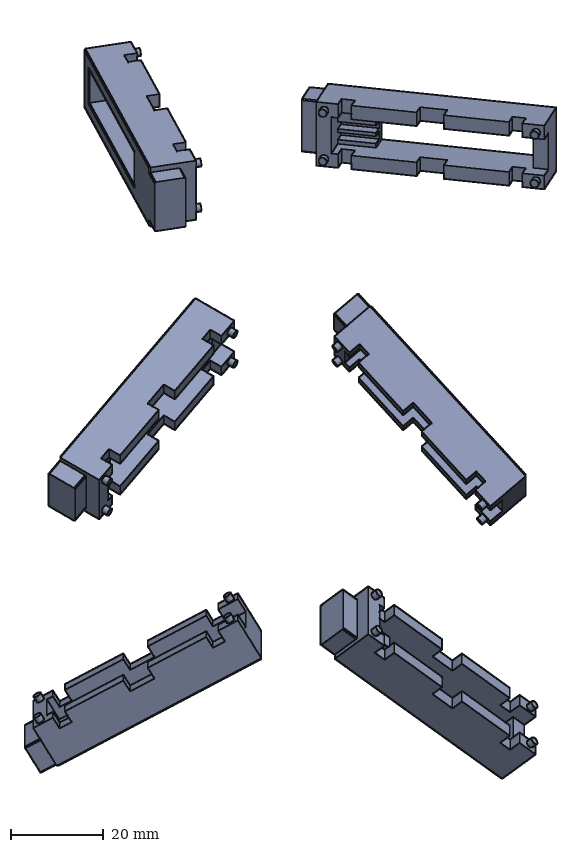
import cadquery as cq

length = 55.0
depth = 12.0
height = 15.0
body_length = 50.9
body_depth = 10.5
side_wall = 3.25
edge_chamfer = 0.3

tab_margin = 1.25
tab_depth = 7.05
end_wall = 3.4

window_start = end_wall
window_end = 38.95

block_depth = 5.1
groove_floor = 2.55
groove_width = 1.7
groove_pitch = 2.55
first_groove_offset = 1.0
groove_count = 2

notch_bottom = 7.6
edge_notch_offset = 4.9
edge_notch_width = 2.95
middle_notch_width = 6.05

pin_diameter = 1.8
pin_inset = 1.8

cavity_height = height - 2 * side_wall
cavity_end = body_length - end_wall


def box(x_start, x_end, y_start, y_end, z_start, z_end):
    """Box between the given limits."""
    size = (x_end - x_start, y_end - y_start, z_end - z_start)
    return cq.Workplane("XY").box(*size, centered=False).translate((x_start, y_start, z_start))


def make_shell():
    """Solid body and tab, chamfered in front except at the tab end, and along the tab rear."""
    tab = box(body_length - end_wall, length, 0, tab_depth, tab_margin, height - tab_margin)
    tab = tab.faces(">Y").edges("|X").chamfer(edge_chamfer)
    shell = box(0, body_length, 0, body_depth, 0, height).union(tab)
    return shell.faces("<Y").edges("not(>X)").chamfer(edge_chamfer)


def cut_cavity(part):
    """Open the window, the rear cavity and the rear of the end wall opposite the tab."""
    z_limits = (side_wall, height - side_wall)
    part = part.cut(box(window_start, window_end, 0, depth, *z_limits))
    part = part.cut(box(window_end, cavity_end, block_depth, depth, *z_limits))
    part = part.cut(box(0, cavity_end, tab_depth, depth, *z_limits))
    rim = (
        cq.Workplane("XZ")
        .center((window_start + window_end) / 2, height / 2)
        .rect(window_end - window_start + 2 * edge_chamfer, cavity_height + 2 * edge_chamfer)
        .workplane(offset=-edge_chamfer)
        .rect(window_end - window_start, cavity_height)
        .loft(ruled=True)
    )
    return part.cut(rim)


def cut_grooves(part):
    """Cut parallel grooves along the block beside the window."""
    for index in range(groove_count):
        z_start = side_wall + first_groove_offset + index * groove_pitch
        z_end = z_start + groove_width
        part = part.cut(box(window_end, cavity_end, groove_floor, block_depth, z_start, z_end))
    return part


def cut_notches(part):
    """Notch the rear edges of both side walls, symmetric along the body."""
    middle_start = (body_length - middle_notch_width) / 2
    last_start = body_length - edge_notch_offset - edge_notch_width
    notches = (
        (edge_notch_offset, edge_notch_width),
        (middle_start, middle_notch_width),
        (last_start, edge_notch_width),
    )
    for start, width in notches:
        part = part.cut(box(start, start + width, notch_bottom, depth, 0, height))
    return part


def add_pins(part):
    """Add a locating pin at each rear corner."""
    for x in (pin_inset, body_length - pin_inset):
        for z in (pin_inset, height - pin_inset):
            pin = cq.Workplane("XZ", origin=(x, body_depth, z)).circle(pin_diameter / 2)
            part = part.union(pin.extrude(body_depth - depth))
    return part


result = add_pins(cut_notches(cut_grooves(cut_cavity(make_shell()))))